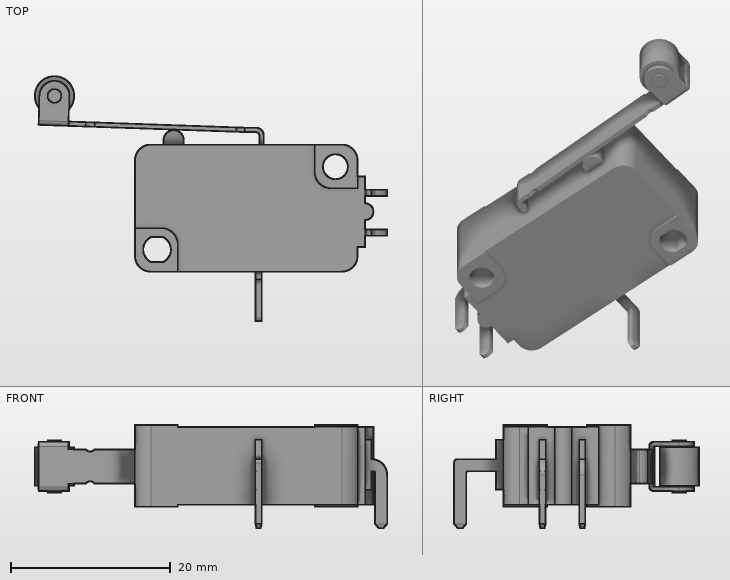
import cadquery as cq
import math


CASE_LENGTH = 27.85
CASE_WIDTH = 15.9
CASE_HEIGHT = 9.75
CASE_CORNER_RADIUS = 2.0

PAD_HEIGHT = 0.25
PAD_LENGTH = 5.38
PAD_WIDTH = 5.45
PAD_CORNER_RADIUS = 2.05

HOLE_DIAMETER = 3.1
HOLE_INSET = 2.78
FLATTENED_HOLE_LENGTH = 3.45

END_PLATE_THICKNESS = 0.93
END_PLATE_START = 3.1
END_PLATE_WIDTH = 8.85
RIB_RADIUS = 1.05

PLUNGER_X = 4.85
PLUNGER_RADIUS = 1.28
PLUNGER_REACH = 1.8

LEVER_TILT = 2.0
LEVER_THICKNESS = 0.57
LEVER_WIDTH = 4.27
LEVER_LENGTH = 23.92
LEVER_MID_Z = 4.8
LEVER_LEG_X = 16.13
LEVER_BEND_RADIUS = 1.0
NOTCH_DIAMETER = 1.4
NOTCH_DEPTH = 0.25
NOTCH_FROM_ROLLER = (4.6, 23.4)

ROLLER_X = -10.05
ROLLER_Y = 22.0
ROLLER_DIAMETER = 4.95
ROLLER_LENGTH = 4.85
PIN_DIAMETER = 1.7
PIN_LENGTH = 6.55
YOKE_LENGTH = 3.75
YOKE_HEIGHT = 6.15
YOKE_DEPTH = 3.7

BLADE_THICKNESS = 0.8
BLADE_WIDTH = 1.55
ROOT_BOTTOM = 1.9
ROOT_TOP = 8.15
ARM_TOP = 5.73
BLADE_END = -2.95
TIP_LENGTH = 0.57
TIP_WIDTH = 0.55
TIP_THICKNESS = 0.55
INNER_BEND_RADIUS = 0.18

SIDE_TERMINAL_X = 15.45
SIDE_ROOT_REACH = 0.93
SIDE_REACH = 6.15
SIDE_BEND_RADIUS = 0.45

END_TERMINAL_YS = (4.9, 9.85)
END_ROOT_REACH = 0.8
END_REACH = 2.78
END_BEND_RADIUS = 2.0

EMBED = 0.45


def box(x, y, z, length, width, height):
    """Box with its lowest corner at (x, y, z)."""
    return cq.Workplane("XY").box(length, width, height, centered=False).translate((x, y, z))


def cylinder(x, y, diameter, length):
    """Cylinder along Z, centred on the lever's mid level."""
    bottom = LEVER_MID_Z - length / 2
    return cq.Workplane("XY", origin=(x, y, bottom)).circle(diameter / 2).extrude(length)


def make_case():
    case = box(0, 0, 0, CASE_LENGTH, CASE_WIDTH, CASE_HEIGHT)
    full_height = CASE_HEIGHT + 2 * PAD_HEIGHT
    pad = box(0, 0, -PAD_HEIGHT, PAD_LENGTH, PAD_WIDTH, full_height)
    pad = pad.edges("|Z and >X and >Y").fillet(PAD_CORNER_RADIUS)
    case_center = (CASE_LENGTH / 2, CASE_WIDTH / 2, 0)
    opposite_pad = pad.rotate(case_center, (CASE_LENGTH / 2, CASE_WIDTH / 2, 1), 180)

    outline = box(0, 0, -PAD_HEIGHT, CASE_LENGTH, CASE_WIDTH, full_height)
    outline = outline.edges("|Z").fillet(CASE_CORNER_RADIUS)
    case = case.union(pad).union(opposite_pad).intersect(outline)

    holes = cq.Workplane("XY", origin=(0, 0, -PAD_HEIGHT))
    hole = (
        holes.center(CASE_LENGTH - HOLE_INSET, CASE_WIDTH - HOLE_INSET)
        .circle(HOLE_DIAMETER / 2)
        .extrude(full_height)
    )
    wide_hole = holes.center(HOLE_INSET, HOLE_INSET)
    flattened_hole = (
        wide_hole.circle(FLATTENED_HOLE_LENGTH / 2)
        .extrude(full_height)
        .intersect(wide_hole.rect(FLATTENED_HOLE_LENGTH, HOLE_DIAMETER).extrude(full_height))
    )
    return case.cut(hole).cut(flattened_hole)


def make_end_plate():
    plate = box(
        CASE_LENGTH - EMBED,
        END_PLATE_START,
        0,
        END_PLATE_THICKNESS + EMBED,
        END_PLATE_WIDTH,
        CASE_HEIGHT,
    )
    rib_center = (CASE_LENGTH + END_PLATE_THICKNESS, END_PLATE_START + END_PLATE_WIDTH / 2)
    rib = cq.Workplane("XY").center(*rib_center).circle(RIB_RADIUS).extrude(CASE_HEIGHT)
    return plate.union(rib)


def make_plunger():
    bottom = LEVER_MID_Z - LEVER_WIDTH / 2
    round_y = CASE_WIDTH + PLUNGER_REACH - PLUNGER_RADIUS
    stem_y = CASE_WIDTH - EMBED
    stem = box(
        PLUNGER_X - PLUNGER_RADIUS, stem_y, bottom, 2 * PLUNGER_RADIUS, round_y - stem_y, LEVER_WIDTH
    )
    return stem.union(cylinder(PLUNGER_X, round_y, 2 * PLUNGER_RADIUS, LEVER_WIDTH))


def make_roller_and_yoke():
    roller = cylinder(ROLLER_X, ROLLER_Y, ROLLER_DIAMETER, ROLLER_LENGTH)
    pin = cylinder(ROLLER_X, ROLLER_Y, PIN_DIAMETER, PIN_LENGTH)

    half_length = YOKE_LENGTH / 2
    base_y = ROLLER_Y - YOKE_DEPTH
    bottom = LEVER_MID_Z - YOKE_HEIGHT / 2
    yoke = box(ROLLER_X - half_length, base_y, bottom, YOKE_LENGTH, YOKE_DEPTH, YOKE_HEIGHT)
    yoke = yoke.edges("|X and <Y").fillet(LEVER_THICKNESS)
    yoke = yoke.union(cylinder(ROLLER_X, ROLLER_Y, YOKE_LENGTH, YOKE_HEIGHT))
    opening = box(
        ROLLER_X - half_length,
        base_y + LEVER_THICKNESS,
        bottom + LEVER_THICKNESS,
        YOKE_LENGTH,
        YOKE_DEPTH + half_length,
        YOKE_HEIGHT - 2 * LEVER_THICKNESS,
    )
    return yoke.cut(opening).union(pin).union(roller)


def make_lever():
    half_width = LEVER_WIDTH / 2
    bottom = LEVER_MID_Z - half_width
    strip = box(ROLLER_X, ROLLER_Y - YOKE_DEPTH, bottom, LEVER_LENGTH, LEVER_THICKNESS, LEVER_WIDTH)

    notch_offset = half_width - NOTCH_DEPTH + NOTCH_DIAMETER / 2
    for distance in NOTCH_FROM_ROLLER:
        for side in (-1, 1):
            notch = (
                cq.Workplane("XZ", origin=(ROLLER_X + distance, ROLLER_Y, LEVER_MID_Z + side * notch_offset))
                .circle(NOTCH_DIAMETER / 2)
                .extrude(YOKE_DEPTH)
            )
            strip = strip.cut(notch)

    tilted = strip.union(make_roller_and_yoke())
    tilted = tilted.rotate((ROLLER_X, ROLLER_Y, 0), (ROLLER_X, ROLLER_Y, 1), -LEVER_TILT)

    tilt = math.radians(LEVER_TILT)
    knee_x = ROLLER_X + LEVER_LENGTH * math.cos(tilt) - YOKE_DEPTH * math.sin(tilt)
    knee_y = ROLLER_Y - LEVER_LENGTH * math.sin(tilt) - YOKE_DEPTH * math.cos(tilt)
    foot_y = CASE_WIDTH - EMBED
    inner_x = LEVER_LEG_X - LEVER_THICKNESS
    leg = (
        cq.Workplane("XY", origin=(0, 0, bottom))
        .moveTo(knee_x, knee_y)
        .lineTo(inner_x, knee_y)
        .lineTo(inner_x, foot_y)
        .lineTo(LEVER_LEG_X, foot_y)
        .lineTo(LEVER_LEG_X, knee_y + LEVER_THICKNESS)
        .lineTo(knee_x, knee_y + LEVER_THICKNESS)
        .close()
        .extrude(LEVER_WIDTH)
    )
    leg = leg.edges("|Z and >X and >Y").fillet(LEVER_BEND_RADIUS)
    inner_corner = cq.selectors.NearestToPointSelector((inner_x, knee_y, LEVER_MID_Z))
    leg = leg.edges(inner_corner).fillet(LEVER_BEND_RADIUS - LEVER_THICKNESS)
    return tilted.union(leg)


def make_terminal(root_reach, reach, bend_radius):
    """Blade leaving the face X = 0 toward +X and bent down; its thickness is centred on Y = 0."""
    half_thickness = BLADE_THICKNESS / 2
    tip_top = BLADE_END + TIP_LENGTH
    root = box(
        -EMBED, -half_thickness, ROOT_BOTTOM, root_reach + EMBED, BLADE_THICKNESS, ROOT_TOP - ROOT_BOTTOM
    )

    arm_bottom = ARM_TOP - BLADE_WIDTH
    inner_x = reach - BLADE_WIDTH
    arm = box(0, -half_thickness, arm_bottom, reach, BLADE_THICKNESS, BLADE_WIDTH)
    leg = box(inner_x, -half_thickness, tip_top, BLADE_WIDTH, BLADE_THICKNESS, ARM_TOP - tip_top)
    blade = arm.union(leg).edges("|Y and >X and >Z").fillet(bend_radius)
    inner_corner = cq.selectors.NearestToPointSelector((inner_x, 0, arm_bottom))
    blade = blade.edges(inner_corner).fillet(INNER_BEND_RADIUS)

    tip = (
        cq.Workplane("XY", origin=(reach - BLADE_WIDTH / 2, 0, BLADE_END))
        .rect(TIP_WIDTH, TIP_THICKNESS)
        .workplane(offset=TIP_LENGTH)
        .rect(BLADE_WIDTH, BLADE_THICKNESS)
        .loft(combine=True)
    )
    return root.union(blade).union(tip)


result = make_case().union(make_end_plate()).union(make_plunger()).union(make_lever())

side_terminal = make_terminal(SIDE_ROOT_REACH, SIDE_REACH, SIDE_BEND_RADIUS)
side_terminal = side_terminal.rotate((0, 0, 0), (0, 0, 1), -90)
result = result.union(side_terminal.translate((SIDE_TERMINAL_X, 0, 0)))

end_terminal = make_terminal(END_ROOT_REACH, END_REACH, END_BEND_RADIUS)
for terminal_y in END_TERMINAL_YS:
    result = result.union(end_terminal.translate((CASE_LENGTH + END_PLATE_THICKNESS, terminal_y, 0)))